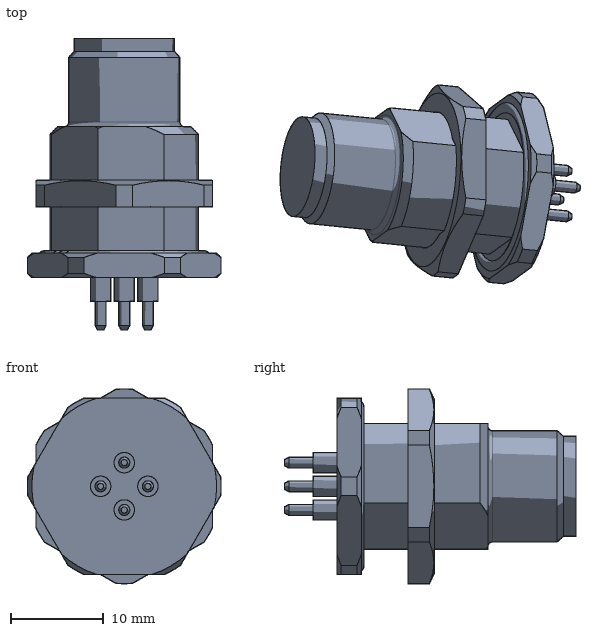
import cadquery as cq
import math


overall_length = 31.4
pin_length = 5.65
plug_end_y = overall_length - pin_length
flange_thickness = 2.65
nut_start_y = 7.63
nut_thickness = 2.85
body_end_y = 16.25

hex_sides = 6
hex_side_angle = 360 / hex_sides
across_flats = 19.0
flange_corner_angle = 0
nut_corner_angle = hex_side_angle / 2
flange_diameter = 20.88
flange_face_diameter = 19.88
flange_chamfer_length = 0.47
nut_diameter = 20.98
nut_bore_diameter = 14.7
nut_face_diameter = 18.78
nut_bevel_length = 0.53

seal_outer_diameter = 18.2
seal_height = 0.28

body_diameter = 16.0
body_chamfer = 0.85
body_flat_distance = 6.78
body_flat_angles = (90, 135, 270, 315)

plug_diameter = 12.0
plug_tip_diameter = 10.8
plug_tip_length = 1.38
plug_taper_length = 0.65
plug_root_fillet = 0.47

pin_count = 4
pin_circle_radius = 2.55
sleeve_diameter = 2.2
sleeve_length = 2.55
pin_diameter = 1.2
pin_tip_diameter = 0.65
pin_tip_length = 0.5


def cylinder_y(diameter, start_y, end_y):
    """Cylinder about the Y axis between two Y positions."""
    plane = cq.Plane(origin=(0, start_y, 0), xDir=(1, 0, 0), normal=(0, 1, 0))
    return cq.Workplane(plane).circle(diameter / 2).extrude(end_y - start_y)


def hexagon_y(start_y, end_y, corner_angle):
    """Hexagonal prism about the Y axis; one corner lies at corner_angle from +X towards +Z."""
    corner_radius = across_flats / 2 / math.cos(math.radians(hex_side_angle / 2))
    angles = [math.radians(corner_angle + hex_side_angle * side) for side in range(hex_sides)]
    corners = [(corner_radius * math.cos(a), corner_radius * math.sin(a)) for a in angles]
    prism = cq.Workplane("XZ").polyline(corners).close().extrude(start_y - end_y)
    return prism.translate((0, start_y, 0))


def revolve_y(profile):
    """Solid of revolution about Y from (radius, y) points; the profile is closed along the axis."""
    start_y = profile[0][1]
    end_y = profile[-1][1]
    points = [(0, start_y)] + profile + [(0, end_y)]
    return cq.Workplane("XY").polyline(points).close().revolve(360, (0, 0), (0, 1))


def make_flange():
    """Hexagon with rounded corners, bevelled on both faces."""
    rounding = revolve_y([
        (flange_face_diameter / 2, 0),
        (flange_diameter / 2, flange_chamfer_length),
        (flange_diameter / 2, flange_thickness - flange_chamfer_length),
        (flange_face_diameter / 2, flange_thickness),
    ])
    return hexagon_y(0, flange_thickness, flange_corner_angle).intersect(rounding)


def make_seal():
    """Ring with a domed top, standing on the +Y face of the flange and touching the body."""
    inner_radius = body_diameter / 2
    outer_radius = seal_outer_diameter / 2
    crest = ((inner_radius + outer_radius) / 2, flange_thickness + seal_height)
    return (
        cq.Workplane("XY")
        .moveTo(inner_radius, flange_thickness)
        .threePointArc(crest, (outer_radius, flange_thickness))
        .close()
        .revolve(360, (0, 0), (0, 1))
    )


def make_nut():
    """Hexagon nut, bevelled on its +Y face; its round bore leaves gaps at the body flats."""
    nut_end_y = nut_start_y + nut_thickness
    rounding = revolve_y([
        (nut_diameter / 2, nut_start_y),
        (nut_diameter / 2, nut_end_y - nut_bevel_length),
        (nut_face_diameter / 2, nut_end_y),
    ])
    bore = cylinder_y(nut_bore_diameter, nut_start_y, nut_end_y)
    return hexagon_y(nut_start_y, nut_end_y, nut_corner_angle).intersect(rounding).cut(bore)


def make_body():
    """Chamfered cylinder with two pairs of parallel flats, 45 degrees apart."""
    body = cylinder_y(body_diameter, 0, body_end_y).faces(">Y").chamfer(body_chamfer)
    for angle in body_flat_angles:
        cutter = cq.Workplane("XY").box(
            body_diameter, body_end_y, body_diameter, centered=(False, False, True)
        )
        cutter = cutter.translate((body_flat_distance, 0, 0))
        body = body.cut(cutter.rotate((0, 0, 0), (0, 1, 0), -angle))
    return body


def make_plug():
    """Round plug with a filleted root and a tapered step down to its tip."""
    root_radius = plug_diameter / 2
    tip_radius = plug_tip_diameter / 2
    fillet_end_y = body_end_y + plug_root_fillet
    step_y = plug_end_y - plug_tip_length
    fillet_mid_offset = plug_root_fillet * (1 - math.sqrt(0.5))
    fillet_middle = (root_radius + fillet_mid_offset, body_end_y + fillet_mid_offset)
    return (
        cq.Workplane("XY")
        .moveTo(0, body_end_y)
        .lineTo(root_radius + plug_root_fillet, body_end_y)
        .threePointArc(fillet_middle, (root_radius, fillet_end_y))
        .lineTo(root_radius, step_y - plug_taper_length)
        .lineTo(tip_radius, step_y)
        .lineTo(tip_radius, plug_end_y)
        .lineTo(0, plug_end_y)
        .close()
        .revolve(360, (0, 0), (0, 1))
    )


def make_pin():
    """Contact pin in an insulating sleeve, with a conical tip."""
    return revolve_y([
        (pin_tip_diameter / 2, -pin_length),
        (pin_diameter / 2, -pin_length + pin_tip_length),
        (pin_diameter / 2, -sleeve_length),
        (sleeve_diameter / 2, -sleeve_length),
        (sleeve_diameter / 2, 0),
    ])


result = make_flange().union(make_body()).union(make_seal()).union(make_nut()).union(make_plug())
for index in range(pin_count):
    pin = make_pin().translate((pin_circle_radius, 0, 0))
    result = result.union(pin.rotate((0, 0, 0), (0, 1, 0), index * 360 / pin_count))